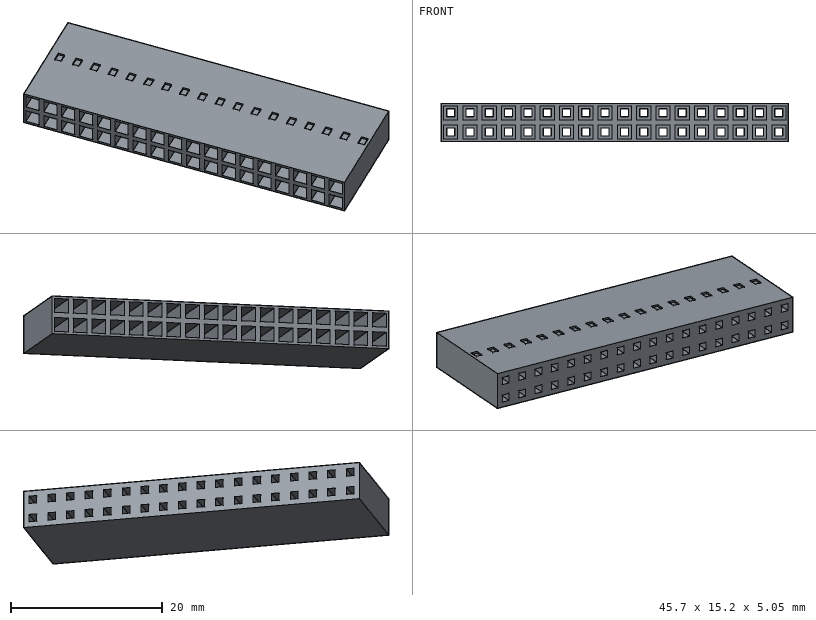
import cadquery as cq

columns = 18
rows = 2
pitch = 2.54

fit_clearance = 0.03
length = columns * pitch - fit_clearance
depth = 15.24
height = rows * pitch - fit_clearance

pocket_side = 1.86
pocket_depth = depth / 2
bore_side = 1.02

recess_width = 0.9
recess_length = 1.3
recess_center_from_front = 8.51
recess_offset = 0.34
recess_depth = 0.25

front_y = -depth / 2
top_z = height / 2


def column_x(column):
    return (column - (columns - 1) / 2) * pitch


def row_z(row):
    return (row - (rows - 1) / 2) * pitch


def square_cavities(side, cavity_depth):
    """Square prisms running back from the front face, one per contact position."""
    cavities = [
        cq.Workplane("XY")
        .box(side, cavity_depth, side, centered=(True, False, True))
        .translate((column_x(column), front_y, row_z(row)))
        .val()
        for column in range(columns)
        for row in range(rows)
    ]
    return cq.Workplane("XY").newObject([cq.Compound.makeCompound(cavities)])


def latch_recesses():
    """Shallow rectangular recesses in the top face, set slightly off each column."""
    centers = [
        (column_x(column) + recess_offset, front_y + recess_center_from_front)
        for column in range(columns)
    ]
    return (
        cq.Workplane("XY", origin=(0, 0, top_z))
        .pushPoints(centers)
        .rect(recess_width, recess_length)
        .extrude(-recess_depth)
    )


housing = cq.Workplane("XY").box(length, depth, height)
result = (
    housing.cut(square_cavities(pocket_side, pocket_depth))
    .cut(square_cavities(bore_side, depth))
    .cut(latch_recesses())
)